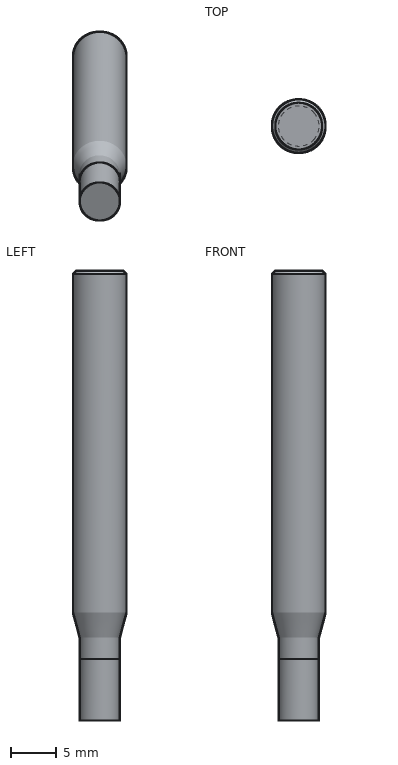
import cadquery as cq
import math

total_length = 50.0
shank_diameter = 6.0
neck_diameter = 4.5

head_length = 6.85
cone_top = 12.0

cone_half_angle = 15.0

end_chamfer = 0.4

shank_radius = shank_diameter / 2
neck_radius = neck_diameter / 2
cone_height = (shank_radius - neck_radius) / math.tan(math.radians(cone_half_angle))
neck_top = cone_top - cone_height


def make_shank():
    """Chamfered shank with a cone that narrows to a short neck."""
    outline = (
        cq.Workplane("XZ")
        .moveTo(0, head_length)
        .lineTo(neck_radius, head_length)
        .lineTo(neck_radius, neck_top)
        .lineTo(shank_radius, cone_top)
        .lineTo(shank_radius, total_length - end_chamfer)
        .lineTo(shank_radius - end_chamfer, total_length)
        .lineTo(0, total_length)
        .close()
    )
    return outline.revolve(360, (0, 0, 0), (0, 1, 0))


def make_cutting_head():
    """Plain cylindrical head that meets the end of the neck."""
    return cq.Workplane("XY").circle(neck_radius).extrude(head_length)


shank = make_shank()
cutting_head = make_cutting_head()

result = cq.Compound.makeCompound([shank.val(), cutting_head.val()])